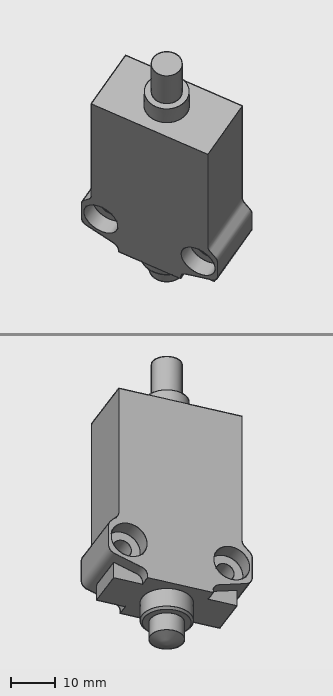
import cadquery as cq

total_height = 75.1
thickness = 16.0

body_width = 30.05
body_bottom = 11.3
body_height = 49.05
body_top = body_bottom + body_height

ear_span = 35.0
ear_top_z = 23.7
ear_low_z = 16.15
foot_width = 16.0
foot_corner_z = 13.3
ear_radius = 2.0
tongue_thickness = 10.1

hole_spacing = 25.0
hole_height = 9.0
hole_z = body_bottom + hole_height
hole_diameter = 4.4
counterbore_diameter = 8.7
counterbore_depth = 4.0

collar_bottom_diameter = 10.3
collar_top_diameter = 10.1
collar_height = 4.8
shaft_diameter = 7.0

guide_diameter = 12.0
guide_bottom = 6.0
guide_chamfer = 0.5
plunger_diameter = 8.0
cone_height = 1.5


def make_housing():
    """Eared full-thickness plate with a thinner rectangular tongue at its bottom corners."""
    half_body = body_width / 2
    half_ear = ear_span / 2
    half_foot = foot_width / 2
    shoulder_z = ear_top_z + half_ear - half_body
    right_edge = [
        (half_foot, body_bottom),
        (half_foot, foot_corner_z),
        (half_ear, ear_low_z),
        (half_ear, ear_top_z),
        (half_body, shoulder_z),
        (half_body, body_top),
    ]
    left_edge = [(-x, z) for x, z in reversed(right_edge)]
    plate = (
        cq.Workplane("XZ")
        .polyline(right_edge + left_edge)
        .close()
        .extrude(thickness / 2, both=True)
    )
    rounded_corners = cq.selectors.BoxSelector(
        (-ear_span, -thickness, (body_bottom + foot_corner_z) / 2),
        (ear_span, thickness, (shoulder_z + body_top) / 2),
    )
    plate = plate.edges("|Y").edges(rounded_corners).fillet(ear_radius)
    tongue = (
        cq.Workplane("XY", origin=(0, 0, body_bottom))
        .rect(body_width, tongue_thickness)
        .extrude(hole_height)
    )
    return plate.union(tongue)


def drill_mounting_holes(housing):
    """Through holes counterbored from the -Y face."""
    return (
        housing.copyWorkplane(cq.Workplane("XZ", origin=(0, -thickness / 2, hole_z)))
        .pushPoints([(-hole_spacing / 2, 0), (hole_spacing / 2, 0)])
        .cboreHole(hole_diameter, counterbore_diameter, counterbore_depth)
    )


def make_upper_shaft():
    """Tapered collar and plain shaft as one turned profile."""
    collar_top = body_top + collar_height
    profile = [
        (0, body_top),
        (collar_bottom_diameter / 2, body_top),
        (collar_top_diameter / 2, collar_top),
        (shaft_diameter / 2, collar_top),
        (shaft_diameter / 2, total_height),
        (0, total_height),
    ]
    return cq.Workplane("XZ").polyline(profile).close().revolve(360, (0, 0), (0, 1))


def make_lower_plunger():
    """Chamfered guide bushing and cone-tipped plunger as one turned profile."""
    guide_radius = guide_diameter / 2
    profile = [
        (0, 0),
        (plunger_diameter / 2, cone_height),
        (plunger_diameter / 2, guide_bottom),
        (guide_radius - guide_chamfer, guide_bottom),
        (guide_radius, guide_bottom + guide_chamfer),
        (guide_radius, body_bottom),
        (0, body_bottom),
    ]
    return cq.Workplane("XZ").polyline(profile).close().revolve(360, (0, 0), (0, 1))


housing = drill_mounting_holes(make_housing())
result = housing.union(make_upper_shaft()).union(make_lower_plunger())